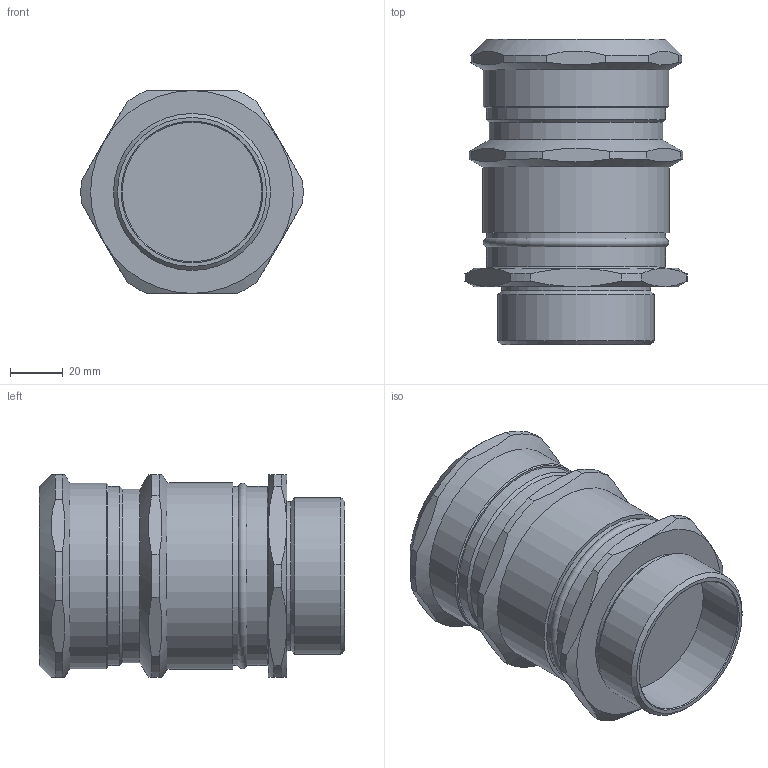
import cadquery as cq
import math

TOTAL_LENGTH = 116.0
ACROSS_FLATS = 77.0
HEX_SIDES = 6
HEX_BEVEL_ANGLE = 30.0

THREAD_DIAMETER = 59.61
UNDERCUT_DIAMETER = 56.61
THREAD_LENGTH = 20.5
BORE_DIAMETER = 53.01
BORE_MOUTH_DIAMETER = 53.8
BORE_DEPTH = 19.0

ENTRY_NUT_START = 22.0
ENTRY_NUT_WIDTH = 7.0
ENTRY_NUT_CORNER_DIAMETER = 84.36

BODY_DIAMETER = 68.0
BODY_FOOT_FLARE = 0.5
SLEEVE_START = 42.6
SLEEVE_DIAMETER = 70.9
O_RING_CENTRE = 38.8
O_RING_SECTION = 3.5
O_RING_OUTER_DIAMETER = 70.4

MIDDLE_NUT_START = 67.5
MIDDLE_NUT_END = 77.75
MIDDLE_NUT_CORNER_DIAMETER = 81.2

NECK_DIAMETER = 66.0
COLLAR_START = 84.5
COLLAR_DIAMETER = 68.0

CAP_START = 90.0
CAP_EDGE_CHAMFER = 0.5
CAP_DIAMETER = 70.4
CAP_HEX_START = 104.35
CAP_HEX_CORNER_DIAMETER = 80.25
CAP_END_DIAMETER = 68.0


def bevel_length(inner_diameter, outer_diameter):
    """Axial length of a hexagon bevel between two diameters."""
    return (outer_diameter - inner_diameter) / 2 * math.tan(math.radians(HEX_BEVEL_ANGLE))


def revolve_outline(points):
    """Solid turned about Y from (diameter, y) points, closed along the axis."""
    outline = [(diameter / 2, y) for diameter, y in points]
    outline = [(0, points[0][1])] + outline + [(0, points[-1][1])]
    return cq.Workplane("XY").polyline(outline).close().revolve(360, (0, 0, 0), (0, 1, 0))


def hexagon_nut(points):
    """Turned blank trimmed by a hexagon with two flats facing +Z and -Z."""
    start = points[0][1]
    width = points[-1][1] - start
    corner_diameter = ACROSS_FLATS / math.cos(math.pi / HEX_SIDES)
    hexagon = (
        cq.Workplane("XZ", origin=(0, start, 0))
        .polygon(HEX_SIDES, corner_diameter)
        .extrude(-width)
    )
    return revolve_outline(points).intersect(hexagon)


def entry_thread():
    step = (THREAD_DIAMETER - UNDERCUT_DIAMETER) / 2
    return revolve_outline([
        (UNDERCUT_DIAMETER, 0),
        (THREAD_DIAMETER, step),
        (THREAD_DIAMETER, THREAD_LENGTH - step),
        (UNDERCUT_DIAMETER, THREAD_LENGTH),
        (UNDERCUT_DIAMETER, ENTRY_NUT_START),
    ])


def entry_nut():
    end = ENTRY_NUT_START + ENTRY_NUT_WIDTH
    bevel = bevel_length(ACROSS_FLATS, ENTRY_NUT_CORNER_DIAMETER)
    return hexagon_nut([
        (ACROSS_FLATS, ENTRY_NUT_START),
        (ENTRY_NUT_CORNER_DIAMETER, ENTRY_NUT_START + bevel),
        (ENTRY_NUT_CORNER_DIAMETER, end - bevel),
        (ACROSS_FLATS, end),
    ])


def body():
    start = ENTRY_NUT_START + ENTRY_NUT_WIDTH
    return revolve_outline([
        (BODY_DIAMETER + 2 * BODY_FOOT_FLARE, start),
        (BODY_DIAMETER, start + BODY_FOOT_FLARE),
        (BODY_DIAMETER, SLEEVE_START),
        (SLEEVE_DIAMETER, SLEEVE_START),
        (SLEEVE_DIAMETER, MIDDLE_NUT_START),
    ])


def o_ring():
    """Exposed outer half of the O-ring; its inner half lies inside the body."""
    section_radius = O_RING_SECTION / 2
    outer_radius = O_RING_OUTER_DIAMETER / 2
    ring_radius = outer_radius - section_radius
    return (
        cq.Workplane("XY")
        .moveTo(ring_radius, O_RING_CENTRE - section_radius)
        .threePointArc((outer_radius, O_RING_CENTRE), (ring_radius, O_RING_CENTRE + section_radius))
        .close()
        .revolve(360, (0, 0, 0), (0, 1, 0))
    )


def middle_nut():
    lower_bevel = bevel_length(SLEEVE_DIAMETER, MIDDLE_NUT_CORNER_DIAMETER)
    upper_bevel = bevel_length(NECK_DIAMETER, MIDDLE_NUT_CORNER_DIAMETER)
    return hexagon_nut([
        (SLEEVE_DIAMETER, MIDDLE_NUT_START),
        (MIDDLE_NUT_CORNER_DIAMETER, MIDDLE_NUT_START + lower_bevel),
        (MIDDLE_NUT_CORNER_DIAMETER, MIDDLE_NUT_END - upper_bevel),
        (NECK_DIAMETER, MIDDLE_NUT_END),
    ])


def neck_and_collar():
    step = (COLLAR_DIAMETER - NECK_DIAMETER) / 2
    return revolve_outline([
        (NECK_DIAMETER, MIDDLE_NUT_END),
        (NECK_DIAMETER, COLLAR_START),
        (COLLAR_DIAMETER, COLLAR_START + step),
        (COLLAR_DIAMETER, CAP_START),
    ])


def cap_skirt():
    return revolve_outline([
        (CAP_DIAMETER - 2 * CAP_EDGE_CHAMFER, CAP_START),
        (CAP_DIAMETER, CAP_START + CAP_EDGE_CHAMFER),
        (CAP_DIAMETER, CAP_HEX_START),
    ])


def cap_hexagon():
    lower_bevel = bevel_length(CAP_DIAMETER, CAP_HEX_CORNER_DIAMETER)
    end_chamfer = (CAP_HEX_CORNER_DIAMETER - CAP_END_DIAMETER) / 2
    return hexagon_nut([
        (CAP_DIAMETER, CAP_HEX_START),
        (CAP_HEX_CORNER_DIAMETER, CAP_HEX_START + lower_bevel),
        (CAP_HEX_CORNER_DIAMETER, TOTAL_LENGTH - end_chamfer),
        (CAP_END_DIAMETER, TOTAL_LENGTH),
    ])


def entry_bore():
    mouth_chamfer = (BORE_MOUTH_DIAMETER - BORE_DIAMETER) / 2
    return revolve_outline([
        (BORE_MOUTH_DIAMETER, 0),
        (BORE_DIAMETER, mouth_chamfer),
        (BORE_DIAMETER, BORE_DEPTH),
    ])


result = entry_thread()
for section in (entry_nut, body, o_ring, middle_nut, neck_and_collar, cap_skirt, cap_hexagon):
    result = result.union(section())
result = result.cut(entry_bore())